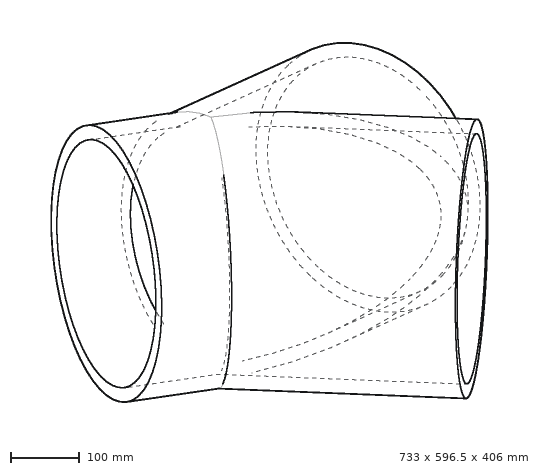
import cadquery as cq
import math

width = 733.0
depth = 596.5
outer_diameter = 406.0
bore_diameter = 363.5
branch_angle = 30.0

outer_radius = outer_diameter / 2
sine = math.sin(math.radians(branch_angle))
cosine = math.cos(math.radians(branch_angle))
branch_length = (width / 2 - outer_radius * cosine) / sine
inlet_length = depth - branch_length * cosine - outer_radius * sine

pipes = [
    (cq.Vector(0, -1, 0), inlet_length),
    (cq.Vector(-sine, cosine, 0), branch_length),
    (cq.Vector(sine, cosine, 0), branch_length),
]


def joined_cylinders(diameter):
    """Union of one cylinder per pipe, all starting at the meeting point."""
    body = cq.Workplane("XY")
    for direction, length in pipes:
        cylinder = cq.Solid.makeCylinder(diameter / 2, length, cq.Vector(0, 0, 0), direction)
        body = body.add(cylinder)
    return body.combine()


result = joined_cylinders(outer_diameter).cut(joined_cylinders(bore_diameter))